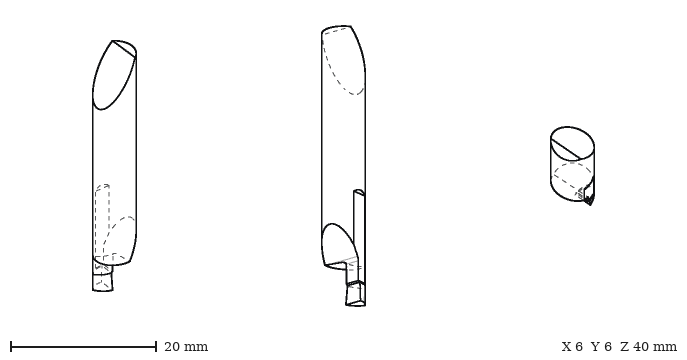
import cadquery as cq
import math

LENGTH = 40.0
RADIUS = 3.0
MARGIN = 2.0

SLANT_ANGLE = 30.0
SLANT_RUN = 1 / math.tan(math.radians(SLANT_ANGLE))
TOP_SLANT_Y = 1.6

FLAT_X = -2.75
FLAT_TOP = 15.85

BLADE_BACK_Y = 0.2
BLADE_INNER_X = -0.7
BACK_CORNER_Z = 6.25
BACK_BLEND = 1.2
SHOULDER_Z = 6.3
SHOULDER_TILT = 5.0
SHOULDER_FILLET = 0.7

TIP_HEIGHT = 2.75
TIP_STEP = 0.2
CUTTING_FACE_Y = 0.0
TIP_TOP_OUTER_X = -2.9
TIP_BOTTOM_FLAT_X = -2.9
TIP_BOTTOM_INNER_X = -0.4
TIP_RELIEF = 0.25


def block(x_min, x_max, y_min, y_max, z_min, z_max):
    """Box given by its limits along each axis."""
    size = (x_max - x_min, y_max - y_min, z_max - z_min)
    return cq.Workplane("XY").box(*size, centered=False).translate((x_min, y_min, z_min))


def side_prism(points):
    """Solid across the whole width with a (Y, Z) outline."""
    width = 2 * (RADIUS + MARGIN)
    return cq.Workplane("YZ").polyline(points).close().extrude(width / 2, both=True)


def top_slant_cutter():
    rise = (TOP_SLANT_Y + RADIUS + MARGIN) * SLANT_RUN
    front_y = -RADIUS - MARGIN
    lift_y = TOP_SLANT_Y + MARGIN / SLANT_RUN
    return side_prism([(lift_y, LENGTH + MARGIN), (front_y, LENGTH - rise), (front_y, LENGTH + MARGIN)])


def back_cutter():
    """Back slant, its blend into the blade, and the chamfer to the cutting face."""
    far_y = RADIUS + MARGIN
    far_z = BACK_CORNER_Z + (far_y - BLADE_BACK_Y) * SLANT_RUN
    outline = [
        (far_y, far_z),
        (BLADE_BACK_Y, BACK_CORNER_Z),
        (BLADE_BACK_Y, TIP_HEIGHT + TIP_STEP),
        (CUTTING_FACE_Y, TIP_HEIGHT),
        (far_y, TIP_HEIGHT),
    ]
    corner = cq.selectors.NearestToPointSelector((0, BLADE_BACK_Y, BACK_CORNER_Z))
    return side_prism(outline).edges(corner).fillet(BACK_BLEND)


def relief_flat_cutter():
    """Flat along the -X side, run out by a slant at its upper end and flaring to the tip."""
    outer_x = -RADIUS - MARGIN
    runout = (FLAT_X - outer_x) * SLANT_RUN
    outline = [
        (TIP_TOP_OUTER_X, TIP_HEIGHT),
        (FLAT_X, TIP_HEIGHT + TIP_STEP),
        (FLAT_X, FLAT_TOP),
        (outer_x, FLAT_TOP + runout),
        (outer_x, TIP_HEIGHT),
    ]
    return cq.Workplane("XZ").polyline(outline).close().extrude(RADIUS + MARGIN, both=True)


def shoulder_cutter():
    """Everything below the tilted shoulder except the round inner side of the blade."""
    reach = RADIUS + MARGIN
    rise = reach * math.tan(math.radians(SHOULDER_TILT))
    outline = [
        (-2 * reach, 0),
        (-2 * reach, SHOULDER_Z - 2 * rise),
        (reach, SHOULDER_Z + rise),
        (reach, 0),
    ]
    below = cq.Workplane("XZ").polyline(outline).close().extrude(reach, both=True)
    blade = (
        cq.Workplane("XY")
        .center(BLADE_INNER_X - RADIUS, BLADE_BACK_Y)
        .circle(RADIUS)
        .extrude(LENGTH)
    )
    return below.cut(blade).edges("%ELLIPSE").fillet(SHOULDER_FILLET)


def make_shank():
    shank = cq.Workplane("XY").circle(RADIUS).extrude(LENGTH)
    shank = shank.rotate((0, 0, 0), (0, 0, 1), 180)
    shank = shank.cut(top_slant_cutter())
    shank = shank.cut(relief_flat_cutter())
    shank = shank.cut(shoulder_cutter())
    shank = shank.cut(back_cutter())
    reach = RADIUS + MARGIN
    return shank.cut(block(-reach, reach, -reach, reach, -MARGIN, TIP_HEIGHT))


def front_y(x):
    """Y of the front half of the shank circle at x."""
    return -math.sqrt(RADIUS**2 - x**2)


def inner_arc_points(inner_x):
    """Front corner and middle point of the blade's inner arc, which is also of the shank radius."""
    center_x = inner_x - RADIUS
    distance = math.hypot(center_x, BLADE_BACK_Y)
    half_chord = math.sqrt(RADIUS**2 - (distance / 2) ** 2)
    corner_x = center_x / 2 - half_chord * BLADE_BACK_Y / distance
    corner = (corner_x, front_y(corner_x))
    start = math.atan2(corner[1] - BLADE_BACK_Y, corner_x - center_x)
    end = math.asin((CUTTING_FACE_Y - BLADE_BACK_Y) / RADIUS)

    def on_arc(angle):
        return (center_x + RADIUS * math.cos(angle), BLADE_BACK_Y + RADIUS * math.sin(angle))

    return corner, on_arc((start + end) / 2), on_arc(end)


def tip_section(z, outer_x, flat_x, inner_x):
    """Closed wire: side flat, outer arc, inner arc and cutting face."""
    corner, inner_middle, inner_end = inner_arc_points(inner_x)
    outer_middle_x = (flat_x + corner[0]) / 2
    return (
        cq.Workplane("XY", origin=(0, 0, z))
        .moveTo(outer_x, CUTTING_FACE_Y)
        .lineTo(flat_x, front_y(flat_x))
        .threePointArc((outer_middle_x, front_y(outer_middle_x)), corner)
        .threePointArc(inner_middle, inner_end)
        .close()
        .val()
    )


def make_tip():
    """Tip that widens downwards, with clearance under its lower face."""
    bottom = tip_section(0, -RADIUS, TIP_BOTTOM_FLAT_X, TIP_BOTTOM_INNER_X)
    top = tip_section(TIP_HEIGHT, TIP_TOP_OUTER_X, FLAT_X, BLADE_INNER_X)
    tip = cq.Workplane(cq.Solid.makeLoft([bottom, top], True))
    front = -RADIUS
    front_rise = TIP_RELIEF * RADIUS / -inner_arc_points(TIP_BOTTOM_INNER_X)[0][1]
    clearance = [(CUTTING_FACE_Y, 0), (front, front_rise), (front, -MARGIN), (CUTTING_FACE_Y, -MARGIN)]
    return tip.cut(side_prism(clearance))


shank = make_shank()
tip = make_tip()
result = cq.Compound.makeCompound([shank.val(), tip.val()])